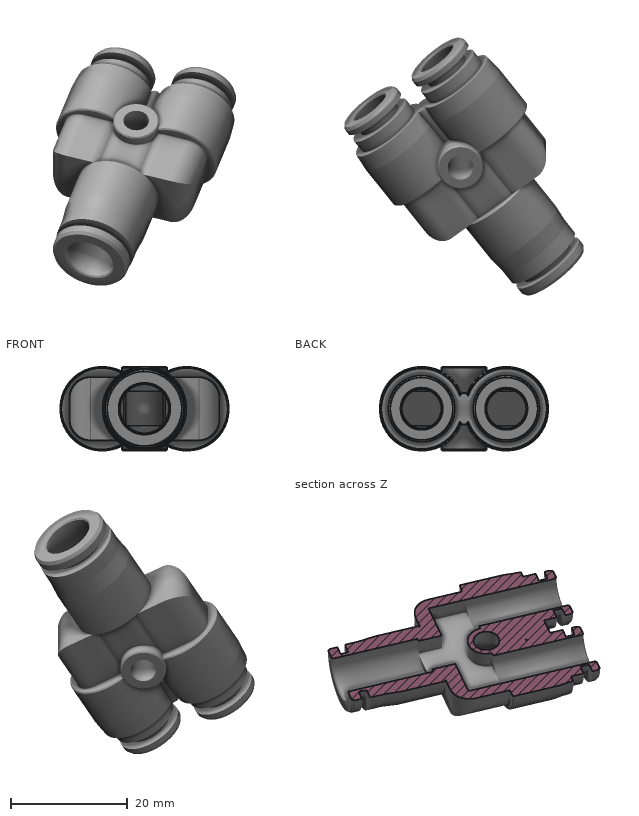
import cadquery as cq
import math


tolerance = 0.005

total_length = 42.8
body_radius = 7.2
total_width = 28.9
branch_offset = total_width / 2 - body_radius
half_height = body_radius

taper_radius = 6.9
sleeve_chamfer = 0.2
root_fillet = 0.2
mouth_chamfer = 0.25

main_ring_radius = 6.7
main_neck_radius = 4.95
main_bore_radius = 4.2
main_ring_end = 1.85
main_neck_end = 3.15
main_collar_end = 5.78
main_taper_end = 8.75
main_sleeve_end = 16.78
main_bore_depth = 15.4

branch_ring_radius = 5.7
branch_neck_radius = 3.95
branch_collar_radius = branch_ring_radius
branch_bore_radius = 3.4
branch_ring_end = 1.55
branch_neck_end = 3.05
branch_collar_end = 5.3
branch_taper_end = 8.25
branch_sleeve_end = 16.4

ring_chamfer_length = 0.55
ring_chamfer_width = 0.35

bar_half_width = 5.55
bar_half_height = 5.4
bar_corner_radius = 3.55
valley_fillet = 0.2

web_half_height = 2.7
web_half_width = 0.8

boss_radius = 3.9
boss_chamfer = 0.2
boss_root_fillet = 0.13
hole_radius = 2.2
post_radius = 3.25

passage_half_width = 3.6
passage_half_height = 2.95
gallery_start = 19.7

branch_sleeve_y = total_length - branch_sleeve_end
branch_taper_y = total_length - branch_collar_end
boss_y = branch_sleeve_y + 0.1
block_half_width = branch_offset + bar_half_width


def turned(*outline):
    """Solid of revolution about Y from (radius, Y) points, closed along the axis."""
    first_y = outline[0][1]
    last_y = outline[-1][1]
    profile = cq.Workplane("XY").polyline([(0, first_y), *outline, (0, last_y)]).close()
    return profile.revolve(360, (0, 0, 0), (0, 1, 0))


def port(ring_radius, neck_radius, collar_radius, ring_end, neck_end, collar_end, taper_end, sleeve_end):
    """Release ring, neck, collar and sleeve about Y, with the mouth at Y = 0."""
    ring = turned(
        (ring_radius - ring_chamfer_width, 0),
        (ring_radius, ring_chamfer_length),
        (ring_radius, ring_end),
    )
    neck = turned((neck_radius, ring_end), (neck_radius, neck_end))
    collar = turned((collar_radius, neck_end), (collar_radius, collar_end))
    sleeve = turned(
        (taper_radius, collar_end),
        (body_radius, taper_end),
        (body_radius, sleeve_end - sleeve_chamfer),
        (body_radius - sleeve_chamfer, sleeve_end),
    )
    return ring.union(neck).union(collar).union(sleeve)


def bore(radius, depth):
    """Blind bore about Y from Y = 0, with a chamfered lead-in."""
    return turned((radius + mouth_chamfer, 0), (radius, mouth_chamfer), (radius, depth))


def box_between(half_width, y_start, y_end, half_depth):
    """Box centred on X = 0 and Z = 0."""
    length = y_end - y_start
    middle = (y_start + y_end) / 2
    return cq.Workplane("XY").box(2 * half_width, length, 2 * half_depth).translate((0, middle, 0))


def facing_back(solid, x):
    """Turn a port-shaped solid to face +Y and place it on the axis at x."""
    return solid.rotate((0, 0, 0), (0, 0, 1), 180).translate((x, total_length, 0))


def bar_at(x):
    """Rounded bar along Y, trimmed where the block's corners are rounded in plan."""
    bar = box_between(bar_half_width, main_sleeve_end, branch_sleeve_y, bar_half_height)
    bar = bar.edges("|Y").fillet(bar_corner_radius).translate((x, 0, 0))
    plan = box_between(block_half_width, main_sleeve_end, branch_sleeve_y, half_height)
    plan = plan.edges("|Z and <Y").fillet(bar_corner_radius)
    return bar.intersect(plan)


def branch(x):
    """One branch port with its bar, filleted where the bar meets the sleeve."""
    joined = bar_at(x).union(facing_back(branch_port, x))
    root = cq.selectors.BoxSelector(
        (x - body_radius, branch_sleeve_y - root_fillet, -body_radius),
        (x + body_radius, branch_sleeve_y + root_fillet, body_radius),
    )
    return joined.edges(root).edges("%LINE").fillet(root_fillet)


def round_valley(solid, x):
    """Fillet the grooves above and below, where two neighbouring bars meet at x."""
    groove = cq.selectors.BoxSelector(
        (x - tolerance, main_sleeve_end, -bar_half_height),
        (x + tolerance, branch_sleeve_y, bar_half_height),
    )
    return solid.edges("|Y").edges(groove).fillet(valley_fillet)


def web():
    """Strip with rounded crests between the branch sleeves."""
    strip = cq.Workplane("XZ").slot2D(2 * web_half_height, 2 * web_half_width, 90)
    return strip.extrude(branch_taper_y - branch_sleeve_y).translate((0, branch_taper_y, 0))


def boss():
    """Cylinder through the fitting, flush with the sleeves on both sides."""
    cylinder = cq.Workplane("XY").circle(boss_radius).extrude(2 * half_height)
    return cylinder.faces("<Z or >Z").chamfer(boss_chamfer).translate((0, boss_y, -half_height))


def boss_root_edges(solid):
    """Edges where the boss wall meets the sleeves, bars and web."""
    rim_height = half_height - boss_chamfer

    def below_rim_on_wall(point):
        distance = math.hypot(point.x, point.y - boss_y)
        return abs(distance - boss_radius) < tolerance and abs(point.z) < rim_height - tolerance

    return [
        edge for edge in solid.edges().vals()
        if all(below_rim_on_wall(point) for point in edge.positions((0, 0.5, 1)))
    ]


def flow_passage():
    """Passage from the main bore to a cross gallery under both branch bores, around the post."""
    inlet = box_between(passage_half_width, main_bore_depth, branch_sleeve_y, passage_half_height)
    gallery_half_width = branch_offset + branch_bore_radius
    gallery = box_between(gallery_half_width, gallery_start, branch_sleeve_y, passage_half_height)
    post = cq.Workplane("XY").circle(post_radius).extrude(half_height, both=True).translate((0, boss_y, 0))
    return inlet.union(gallery).cut(post)


main_port = port(
    main_ring_radius, main_neck_radius, taper_radius,
    main_ring_end, main_neck_end, main_collar_end, main_taper_end, main_sleeve_end,
)
branch_port = port(
    branch_ring_radius, branch_neck_radius, branch_collar_radius,
    branch_ring_end, branch_neck_end, branch_collar_end, branch_taper_end, branch_sleeve_end,
)

branch_axes = (-branch_offset, branch_offset)

result = main_port.union(bar_at(0)).union(web())
for axis_x in branch_axes:
    result = result.union(branch(axis_x))
for axis_x in branch_axes:
    result = round_valley(result, axis_x / 2)
result = result.union(boss())
result = result.newObject(boss_root_edges(result)).fillet(boss_root_fillet)
result = result.cut(bore(main_bore_radius, main_bore_depth))
for axis_x in branch_axes:
    result = result.cut(facing_back(bore(branch_bore_radius, branch_sleeve_end), axis_x))
result = result.cut(flow_passage())
hole = cq.Workplane("XY").circle(hole_radius).extrude(half_height, both=True).translate((0, boss_y, 0))
result = result.cut(hole)